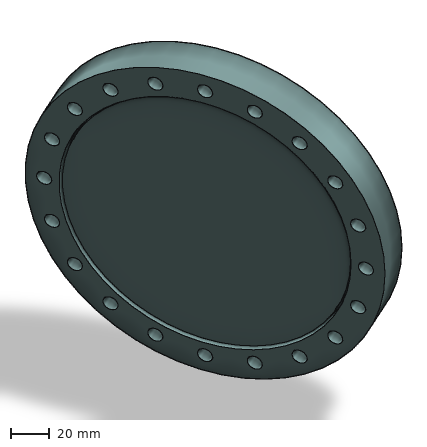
import cadquery as cq

FLANGE_DIAMETER = 202.44
FLANGE_THICKNESS = 22.35

BOLT_COUNT = 20
BOLT_CIRCLE_DIAMETER = 181.0
BOLT_HOLE_DIAMETER = 8.4

GROOVE_OUTER_DIAMETER = 164.3
GROOVE_INNER_DIAMETER = 162.1
GROOVE_DEPTH = 8.0
CENTRE_DEPTH = 1.85


def disc(diameter, thickness):
    """Disc about the Y axis, reaching from the front face (Y = 0) towards +Y."""
    return cq.Workplane("XZ").circle(diameter / 2).extrude(-thickness)


def bolt_holes():
    """Ring of through holes, the first one on the +X axis."""
    return (
        cq.Workplane("XZ")
        .polarArray(BOLT_CIRCLE_DIAMETER / 2, 0, 360, BOLT_COUNT)
        .circle(BOLT_HOLE_DIAMETER / 2)
        .extrude(-FLANGE_THICKNESS)
    )


def groove():
    """Ring-shaped cut around the sunken centre."""
    outer = disc(GROOVE_OUTER_DIAMETER, GROOVE_DEPTH)
    inner = disc(GROOVE_INNER_DIAMETER, GROOVE_DEPTH)
    return outer.cut(inner)


def sunken_centre():
    """Shallow cut that lowers the face inside the groove."""
    return disc(GROOVE_INNER_DIAMETER, CENTRE_DEPTH)


result = (
    disc(FLANGE_DIAMETER, FLANGE_THICKNESS)
    .cut(groove())
    .cut(sunken_centre())
    .cut(bolt_holes())
)